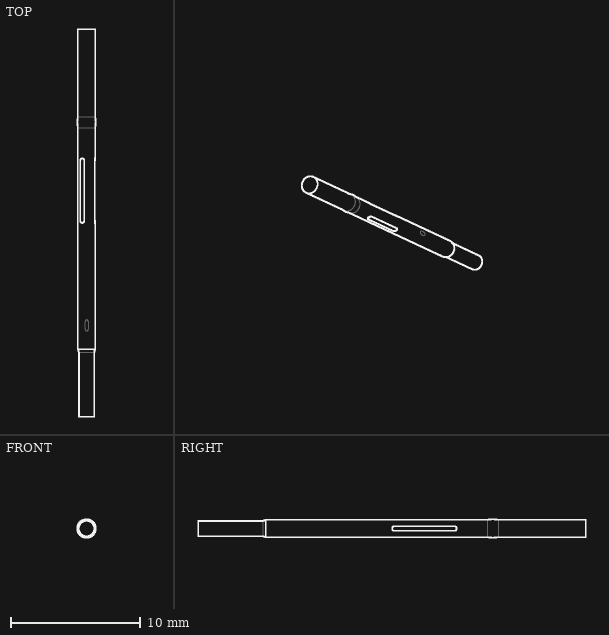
import cadquery as cq
import math

total_length = 30.0
body_diameter = 1.36
tip_diameter = 1.2
tip_length = 5.0
shoulder_length = 0.25

ring_diameter = 1.45
ring_width = 0.84
ring_from_rear = 7.2

slot_count = 3
slot_length = 5.0
slot_width = 0.36
slot_depth = 0.03
slot_from_rear = 10.0
first_slot_angle = 120.0

dimple_length = 0.9
dimple_width = 0.3
top_dimple_y = 7.1
side_dimple_y = 11.0
top_angle = 90.0
side_angle = 180.0

body_radius = body_diameter / 2
tip_radius = tip_diameter / 2
ring_radius = ring_diameter / 2
ring_y = total_length - ring_from_rear
shoulder_end_y = tip_length + shoulder_length
slot_center_y = total_length - slot_from_rear - slot_length / 2


def turn(solid, angle):
    """Turn a cutter that faces +X about the Y axis, so that 90 degrees faces +Z."""
    return solid.rotate((0, 0, 0), (0, 1, 0), -angle)


def make_pin():
    """Revolve the stepped half profile with its bulged press ring."""
    return (
        cq.Workplane("YZ")
        .lineTo(0, tip_radius)
        .lineTo(tip_length, tip_radius)
        .lineTo(shoulder_end_y, body_radius)
        .lineTo(ring_y - ring_width / 2, body_radius)
        .threePointArc((ring_y, ring_radius), (ring_y + ring_width / 2, body_radius))
        .lineTo(total_length, body_radius)
        .lineTo(total_length, 0)
        .close()
        .revolve(360, (0, 0, 0), (1, 0, 0))
    )


def slot_cutter(angle):
    """Round-ended block that leaves one flat-bottomed slot in the body."""
    block = (
        cq.Workplane("YZ", origin=(body_radius - slot_depth, slot_center_y, 0))
        .slot2D(slot_length, slot_width)
        .extrude(body_radius)
    )
    return turn(block, angle)


def dimple_cutter(center_y, angle):
    """Wide cylinder lying across the pin that presses an oval dimple into the body."""
    half_width = dimple_width / 2
    depth = body_radius - math.sqrt(body_radius**2 - half_width**2)
    press_radius = ((dimple_length / 2) ** 2 + depth**2) / (2 * depth)
    press_axis_x = body_radius - depth + press_radius
    press = (
        cq.Workplane("XY")
        .center(press_axis_x, center_y)
        .circle(press_radius)
        .extrude(body_radius, both=True)
    )
    return turn(press, angle)


result = make_pin()
for slot_index in range(slot_count):
    result = result.cut(slot_cutter(first_slot_angle + slot_index * 360 / slot_count))
result = result.cut(dimple_cutter(top_dimple_y, top_angle))
result = result.cut(dimple_cutter(side_dimple_y, side_angle))